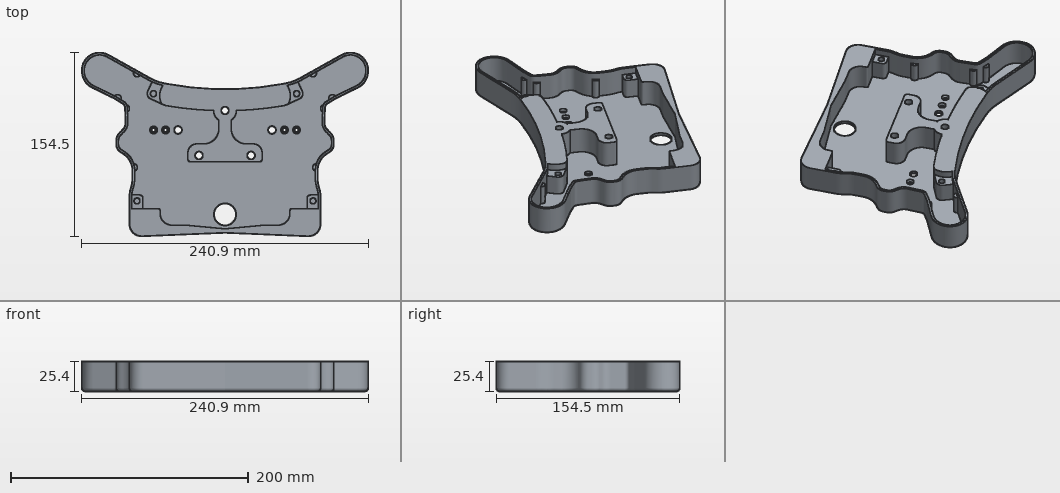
import cadquery as cq
import math

half_width = 240.88 / 2
height = 25.4
floor_thickness = 2.54
wall = 2.0
bottom_edge_radius = 3.175
ledge_drop = 6.0
ledge_height = height - ledge_drop

base_half_width = 80.45
waist_half_width = 78.0
lobe_half_width = 91.6
neck_half_width = 83.5
neck_flare = 0.8
front_rise = 2.9
back_radius = 265
back_corner_y = 119.2

outline_corners = [
    (0, front_rise, 0),
    (-base_half_width, -0.45, 10.5),
    (-base_half_width, 36.0, 20),
    (-waist_half_width, 45.5, 20),
    (-waist_half_width, 64.3, 16),
    (-lobe_half_width, 73.3, 8),
    (-lobe_half_width, 84.0, 9),
    (-neck_half_width, 92.2, 9),
    (-neck_half_width - neck_flare, 110.5, 4),
    (-93.3, 116.0, 10),
    (-half_width, 129.2, 16),
    (-half_width, 165.05, 15),
    (-57.4, 129.9, 40),
    (0, back_corner_y, back_radius),
]

bridge_front_radius = 290
bridge_front_corner_y = 101.65
bridge_tip = (-60.5, 131.7)
bridge_bend = (-50.3, 110.0)
bridge_bend_radius = 10
pad_corner = (-67.0, 117.6)
pad_corner_radius = 9.91 / 2
back_pad_hole = (-60.2, 119.9)
bridge_end_arc = [(-51.0, 128.5), (-54.8, 120.0), (-52.6, 110.0)]

center_hole_y = 105.8
center_boss_radius = 9.6
stem_half_width = 5.2
post_half_width = 31.2
post_front_y = 62.5
post_back_y = 77.7
post_front_radius = 2.5
post_back_radius = 7.5
stem_blend_radius = 12.7
post_hole = (21.9, 68.0)

front_block_y = 23.2
front_recess_half = 54.6
front_recess_y = 9.4
front_recess_flat_half = 33.0
front_recess_mid_y = 6.3
front_recess_radius = 10
front_recess_bend_radius = 20
front_block_corner_radius = 1.5
front_pad_x = -69.0
front_pad_y = 34.8
front_pad_radius = 3.0
front_pad_hole = (-74.0, 29.8)

boss_diameter = 6.15
wall_bosses = [(-73.9, 137.2), (-90.3, 116.0), (-83.4, 107.4), (-76.8, 57.9)]
center_hole_diameter = 6.15
post_hole_diameter = 6.35
floor_hole_diameter = 6.35
floor_hole_x = 39.5
floor_holes_y = 89.4
screw_hole_x = [50.0, 60.1]
screw_hole_diameter = 3.17
countersink_diameter = 6.15
back_pad_hole_diameter = 5.12
front_pad_hole_diameter = 5.04
pad_hole_depth = 12.0
cable_hole_diameter = 18.4
cable_hole_y = 18.4


def mirrored(corners):
    """Close a left-half list of corners with its mirror image; ends at x = 0 appear once."""
    right_half = [(-x, y, r) for x, y, r in reversed(corners) if x != 0]
    return corners + right_half


def rounded_polygon(corners):
    """Closed wire through the corners, each rounded with its own radius (0 keeps it sharp)."""
    arcs = []
    for i, (x, y, radius) in enumerate(corners):
        corner = cq.Vector(x, y)
        before = cq.Vector(*corners[i - 1][:2])
        after = cq.Vector(*corners[(i + 1) % len(corners)][:2])
        to_before = (before - corner).normalized()
        to_after = (after - corner).normalized()
        half_angle = to_before.getAngle(to_after) / 2
        tangent_length = radius / math.tan(half_angle)
        apex_distance = radius / math.sin(half_angle) - radius
        toward_center = (to_before + to_after).normalized() if radius else cq.Vector()
        start = corner + to_before * tangent_length
        middle = corner + toward_center * apex_distance
        end = corner + to_after * tangent_length
        arcs.append((start, middle, end))

    edges = []
    for i, (start, middle, end) in enumerate(arcs):
        previous_end = arcs[i - 1][2]
        edges.append(cq.Edge.makeLine(previous_end, start))
        if corners[i][2]:
            edges.append(cq.Edge.makeThreePointArc(start, middle, end))
    return cq.Wire.assembleEdges(edges)


def prism(wire, bottom, top):
    solid = cq.Solid.extrudeLinear(wire, [], cq.Vector(0, 0, top - bottom))
    return cq.Workplane(obj=solid.translate(cq.Vector(0, 0, bottom)))


def cylinder(x, y, diameter, bottom, top):
    base = cq.Workplane("XY", origin=(x, y, bottom))
    return base.circle(diameter / 2).extrude(top - bottom)


def both_sides(shape):
    return shape.union(shape.mirror("YZ"))


def outer_body(outline):
    return prism(outline, 0, height).faces("<Z").edges().fillet(bottom_edge_radius)


def bridge_and_back_pads():
    corners = [
        (*bridge_tip, 0),
        (*pad_corner, pad_corner_radius),
        (*bridge_bend, bridge_bend_radius),
        (0, bridge_front_corner_y, bridge_front_radius),
    ]
    band = prism(rounded_polygon(mirrored(corners)), floor_thickness, height)
    start, middle, end = bridge_end_arc
    pad_space = (
        cq.Workplane("XY", origin=(0, 0, ledge_height))
        .moveTo(*start)
        .threePointArc(middle, end)
        .lineTo(-half_width, end[1])
        .lineTo(-half_width, bridge_tip[1])
        .lineTo(start[0], bridge_tip[1])
        .close()
        .extrude(ledge_drop)
    )
    return band.cut(both_sides(pad_space))


def post():
    corners = [
        (0, post_front_y, 0),
        (-post_half_width, post_front_y, post_front_radius),
        (-post_half_width, post_back_y, post_back_radius),
        (-stem_half_width, post_back_y, stem_blend_radius),
        (-stem_half_width, center_hole_y, 0),
    ]
    block = prism(rounded_polygon(mirrored(corners)), floor_thickness, height)
    return block.union(cylinder(0, center_hole_y, 2 * center_boss_radius, floor_thickness, height))


def front_block():
    corners = [
        (0, front_recess_mid_y, 0),
        (-front_recess_flat_half, front_recess_y, front_recess_bend_radius),
        (-front_recess_half, front_recess_y, front_recess_radius),
        (-front_recess_half, front_block_y, front_block_corner_radius),
        (-half_width, front_block_y, 0),
        (-half_width, -front_rise, 0),
    ]
    return prism(rounded_polygon(mirrored(corners)), floor_thickness, height)


def front_pads():
    corners = [
        (-half_width, front_block_y, 0),
        (front_pad_x, front_block_y, 0),
        (front_pad_x, front_pad_y, front_pad_radius),
        (-half_width, front_pad_y, 0),
    ]
    return both_sides(prism(rounded_polygon(corners), floor_thickness, ledge_height))


def countersink(x, y):
    """90 degree cone that opens upward at the tray floor."""
    radius = countersink_diameter / 2
    cone_point = cq.Vector(x, y, floor_thickness - radius)
    cone = cq.Solid.makeCone(0, radius, radius, cone_point, cq.Vector(0, 0, 1))
    return cq.Workplane(obj=cone)


def drill(body):
    tall = (0, height)
    body = body.cut(cylinder(0, center_hole_y, center_hole_diameter, *tall))
    body = body.cut(cylinder(0, cable_hole_y, cable_hole_diameter, *tall))
    pad_hole_bottom = ledge_height - pad_hole_depth
    for side in (-1, 1):
        body = body.cut(cylinder(side * post_hole[0], post_hole[1], post_hole_diameter, *tall))
        body = body.cut(cylinder(side * floor_hole_x, floor_holes_y, floor_hole_diameter, *tall))
        for x in screw_hole_x:
            body = body.cut(cylinder(side * x, floor_holes_y, screw_hole_diameter, *tall))
            body = body.cut(countersink(side * x, floor_holes_y))
        for (x, y), diameter in (
            (back_pad_hole, back_pad_hole_diameter),
            (front_pad_hole, front_pad_hole_diameter),
        ):
            body = body.cut(cylinder(side * x, y, diameter, pad_hole_bottom, ledge_height))
    return body


outline = rounded_polygon(mirrored(outline_corners))
inner_outline = outline.offset2D(-wall)[0]

cavity = prism(inner_outline, floor_thickness, height)
for island in (bridge_and_back_pads(), post(), front_block(), front_pads()):
    cavity = cavity.cut(island)
for boss_x, boss_y in wall_bosses:
    boss = cylinder(boss_x, boss_y, boss_diameter, floor_thickness, ledge_height)
    cavity = cavity.cut(both_sides(boss))

result = drill(outer_body(outline).cut(cavity))